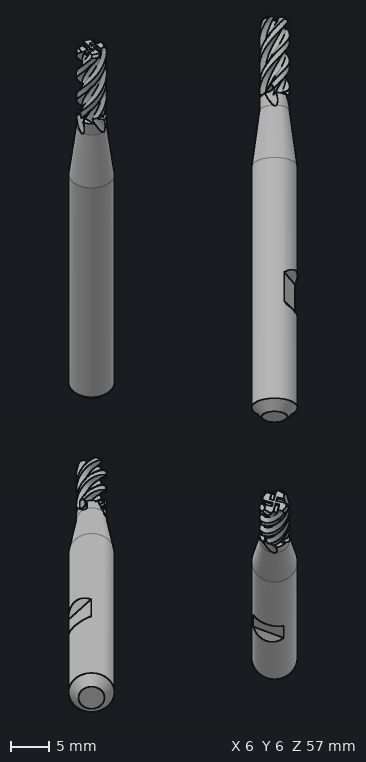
import cadquery as cq
import math

total_length = 57.0
shank_radius = 3.0
cutter_radius = 2.0
cutter_base_z = 44.0
neck_base_z = 36.0
shank_chamfer = 1.3
tip_chamfer = 0.35

flat_depth = 0.9
flat_length = 4.2
flat_center_z = 17.5

flute_count = 4
pitch_angle = 360 / flute_count
helix_lead = 14.8
flute_end_z = 45.8
cutter_length = total_length - flute_end_z
cutter_twist = 360 * cutter_length / helix_lead
edge_angle = 3.6
land_angle = 28.0
core_radius = 1.2
root_angle = 12.0
back_radius = 1.4
back_angle = 45.0

trough_radius = 0.7
trough_end_z = 43.9
trough_angle = edge_angle + 20.0
trough_skew = 20.0

gash_width = 0.5
gash_depth = 0.5
gash_offset = 0.2

overlap = 0.5


def polar(radius, angle):
    return (radius * math.cos(math.radians(angle)), radius * math.sin(math.radians(angle)))


def make_body():
    """Shank, tapered neck and the plain start of the cutter as one revolved solid."""
    return (
        cq.Workplane("XZ")
        .moveTo(0, 0)
        .lineTo(shank_radius - shank_chamfer, 0)
        .lineTo(shank_radius, shank_chamfer)
        .lineTo(shank_radius, neck_base_z)
        .lineTo(cutter_radius, cutter_base_z)
        .lineTo(cutter_radius, flute_end_z)
        .lineTo(0, flute_end_z)
        .close()
        .revolve(360, (0, 0, 0), (0, 1, 0))
    )


def make_clamping_flat():
    """Trapezoidal notch with 45 degree end walls, cut right across the shank."""
    half_floor = flat_length / 2
    half_mouth = half_floor + flat_depth + overlap
    floor_x = -shank_radius + flat_depth
    mouth_x = -shank_radius - overlap
    return (
        cq.Workplane("XZ")
        .moveTo(floor_x, flat_center_z - half_floor)
        .lineTo(floor_x, flat_center_z + half_floor)
        .lineTo(mouth_x, flat_center_z + half_mouth)
        .lineTo(mouth_x, flat_center_z - half_mouth)
        .close()
        .extrude(shank_radius, both=True)
    )


def make_cutter():
    """Fluted cutting head, twisted about the axis."""
    profile = (
        cq.Workplane("XY", origin=(0, 0, flute_end_z))
        .moveTo(*polar(cutter_radius, edge_angle))
    )
    for tooth in range(flute_count):
        edge = edge_angle + tooth * pitch_angle
        next_edge = edge + pitch_angle
        heel = next_edge - land_angle
        profile = (
            profile.lineTo(*polar(core_radius, edge + root_angle))
            .lineTo(*polar(back_radius, edge + back_angle))
            .lineTo(*polar(cutter_radius, heel))
            .threePointArc(
                polar(cutter_radius, heel + land_angle / 2), polar(cutter_radius, next_edge)
            )
        )
    return profile.close().twistExtrude(cutter_length, cutter_twist)


def make_tip_chamfer():
    """Triangular ring that bevels the rim of the tip."""
    return (
        cq.Workplane("XZ")
        .moveTo(cutter_radius - 2 * tip_chamfer, total_length + tip_chamfer)
        .lineTo(cutter_radius + tip_chamfer, total_length - 2 * tip_chamfer)
        .lineTo(cutter_radius + tip_chamfer, total_length + tip_chamfer)
        .close()
        .revolve(360, (0, 0, 0), (0, 1, 0))
    )


def make_trough(angle):
    """Tilted round cutter running from the flute bottom out through the surface."""
    rise = flute_end_z - trough_end_z
    run = cutter_radius - core_radius
    length = math.hypot(rise, run)
    direction = cq.Vector(run / length, 0, -rise / length)
    outward = cq.Vector(rise / length, 0, run / length)
    flute_bottom = cq.Vector(core_radius, 0, flute_end_z)
    start = flute_bottom + (outward - direction) * trough_radius
    tool_length = 2 * length
    tool = cq.Solid.makeCylinder(trough_radius, tool_length, start, direction)
    return (
        cq.Workplane(tool)
        .rotate((0, 0, trough_end_z), (1, 0, trough_end_z), trough_skew)
        .rotate((0, 0, 0), (0, 0, 1), angle)
    )


def make_gash(angle):
    """Slot across the tip from near the axis to the rim, alongside one cutting edge."""
    return (
        cq.Workplane("XY", origin=(0, 0, total_length - gash_depth))
        .rect(cutter_radius + overlap, gash_width, centered=False)
        .extrude(gash_depth + overlap)
        .translate((gash_offset, gash_offset, 0))
        .rotate((0, 0, 0), (0, 0, 1), angle)
    )


result = (
    make_body()
    .cut(make_clamping_flat())
    .union(make_cutter())
    .cut(make_tip_chamfer())
)
for tooth in range(flute_count):
    result = result.cut(make_trough(trough_angle + tooth * pitch_angle))
    result = result.cut(make_gash(edge_angle + cutter_twist + tooth * pitch_angle))